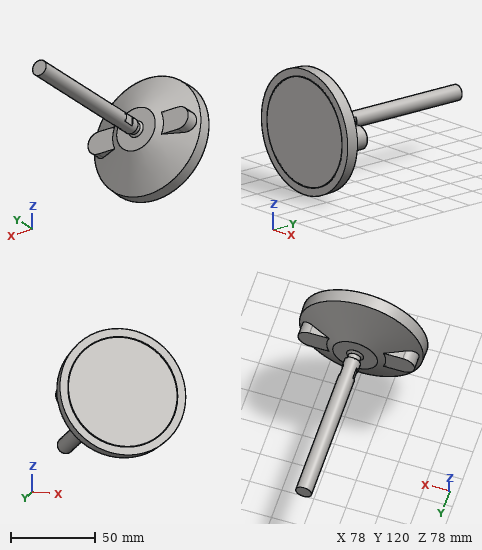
import cadquery as cq

total_length = 120.0

foot_diameter = 78.0
rim_top_diameter = 77.3
rim_height = 8.0
hub_diameter = 28.0
hub_height = 20.0

groove_outer_diameter = 68.0
groove_inner_diameter = 67.5
groove_depth = 1.0

lug_width = 14.6
lug_tip_span = 72.7
lug_height = 17.9

rod_diameter = 10.0
neck_diameter = 7.8
flare_diameter = 10.5
flare_top = 21.4
neck_top = 25.0

flat_start = 30.0
flat_length = 7.0
across_flats = 8.0


def revolved(half_outline):
    """Turn a closed outline of (radius, height) points about the Y axis."""
    return cq.Workplane("XY").polyline(half_outline).close().revolve(360, (0, 0), (0, 1))


def cross_section(height):
    """Workplane across the axis; negative extrusion distances run toward +Y."""
    return cq.Workplane("XZ", origin=(0, height, 0))


def make_foot():
    return revolved([
        (0, 0),
        (foot_diameter / 2, 0),
        (rim_top_diameter / 2, rim_height),
        (hub_diameter / 2, hub_height),
        (0, hub_height),
    ])


def make_stem():
    return revolved([
        (0, hub_height),
        (flare_diameter / 2, hub_height),
        (neck_diameter / 2, flare_top),
        (neck_diameter / 2, neck_top),
        (rod_diameter / 2, neck_top),
        (rod_diameter / 2, total_length),
        (0, total_length),
    ])


def make_lugs():
    """One round-ended bar through the foot; its two ends stand out as lugs."""
    bar_height = lug_height - rim_height
    return cross_section(rim_height).slot2D(lug_tip_span, lug_width).extrude(-bar_height)


def make_groove():
    return (
        cross_section(0)
        .circle(groove_outer_diameter / 2)
        .circle(groove_inner_diameter / 2)
        .extrude(-groove_depth)
    )


def make_flat_cutter():
    """Material outside the two wrench flats, which face -X and +X."""
    collar = cross_section(flat_start).rect(2 * rod_diameter, 2 * rod_diameter)
    kept_core = cross_section(flat_start).rect(across_flats, 2 * rod_diameter)
    return collar.extrude(-flat_length).cut(kept_core.extrude(-flat_length))


result = (
    make_foot()
    .union(make_lugs())
    .union(make_stem())
    .cut(make_groove())
    .cut(make_flat_cutter())
)